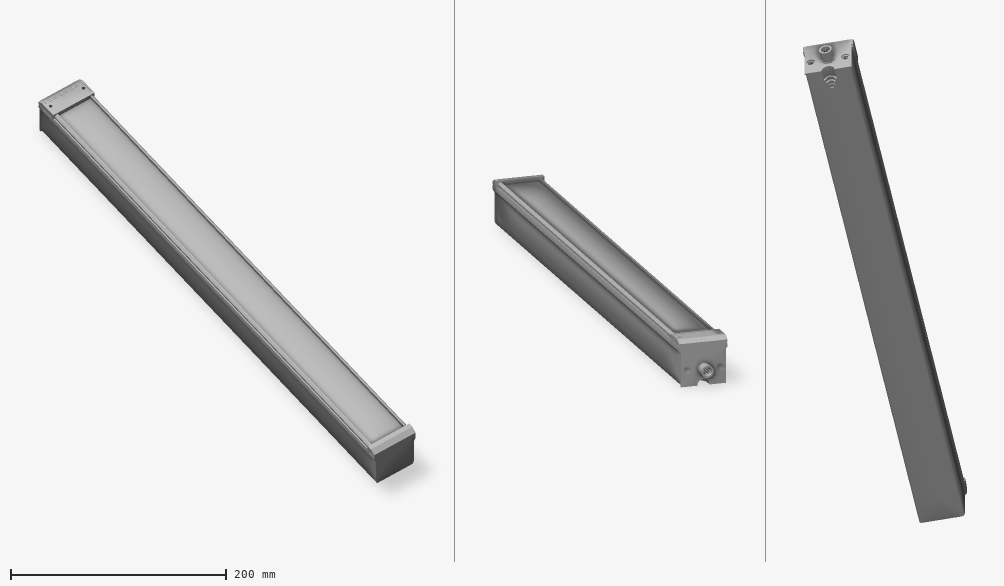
import cadquery as cq

total_length = 545.0
connector_length = 12.0
housing_length = total_length - connector_length
width = 47.5
height = 45.0

flange_half_width = width / 2
wall_half_width = flange_half_width - 1.9
shoulder_half_width = flange_half_width - 0.5
rail_half_width = flange_half_width - 1.5
rim_half_width = rail_half_width - 2.0
corner_half_width = wall_half_width - 0.45
underside_half_width = corner_half_width - 1.9
corner_height = 2.0
corner_bulge = (corner_half_width - 0.65, 0.8)
curve_top = 8.5
curve_bulge = (wall_half_width - 0.1, (corner_height + curve_top) / 2)
flange_bottom = 34.5
flange_underside_start = flange_bottom - 2.5
flange_top = 36.5
shoulder_height = 40.0
rim_height = height - 1.35
bevel_bottom = rim_height - 1.5

plate_thickness = 1.5
plate_proud = 0.25
plate_half_width = wall_half_width + plate_proud

front_block_end = 24.0
rear_block_length = 10.5
block_bottom = flange_bottom
end_chamfer_length = 5.5
end_chamfer_height = 3.0
end_chamfer_bottom = height - end_chamfer_height
side_groove_bottom = 38.0
side_groove_height = 1.5
side_groove_depth = 0.5

panel_start = 6.5
panel_end = front_block_end - 1.5
panel_step_length = 1.5
panel_step_count = 2
panel_step_depth = 0.25

cover_hole_diameter = 3.3
cover_hole_depth = 5.5
cover_hole_x = 13.0
cover_hole_spacing = 37.5

window_width = 37.5
lens_top = 40.5
lens_thickness = 3.0
lens_bottom = lens_top - lens_thickness

port_height = 16.5
screw_spacing = 32.5
screw_diameters = (8.0, 5.4, 3.3)
screw_step_depth = 1.0
notch_diameters = (12.0, 8.5, 5.4, 3.3)
notch_entry_depth = 11.0
notch_step_depth = 3.0

connector_diameter = 12.0
collar_diameter = 11.0
collar_gap = 1.0
collar_length = 1.5
spigot_length = 5.5
socket_diameter = 8.5
socket_depth = 8.5
pin_diameter = 1.0
pin_circle_diameter = 5.4
outer_pin_count = 4
pin_length = 7.0


def box(x_start, x_end, half_width, z_bottom, z_top):
    """Box between two X positions, symmetric about the XZ plane."""
    size = (x_end - x_start, 2 * half_width, z_top - z_bottom)
    return cq.Workplane("XY", origin=(x_start, 0, z_bottom)).box(*size, centered=(False, True, False))


def rod(x_start, length, diameter, y=0.0, z=port_height):
    """Cylinder along +X."""
    return cq.Workplane("YZ", origin=(x_start, y, z)).circle(diameter / 2).extrude(length)


def make_extrusion():
    half = (
        cq.Workplane("YZ", origin=(plate_thickness, 0, 0))
        .lineTo(underside_half_width, 0)
        .threePointArc(corner_bulge, (corner_half_width, corner_height))
        .threePointArc(curve_bulge, (wall_half_width, curve_top))
        .lineTo(wall_half_width, flange_underside_start)
        .lineTo(flange_half_width, flange_bottom)
        .lineTo(flange_half_width, flange_top)
        .lineTo(shoulder_half_width, shoulder_height)
        .lineTo(rail_half_width, shoulder_height)
        .lineTo(rail_half_width, bevel_bottom)
        .lineTo(rim_half_width, rim_height)
        .lineTo(0, rim_height)
        .close()
        .extrude(housing_length - plate_thickness)
    )
    return half.union(half.mirror("XZ"))


def make_end_block(x_start, x_end):
    """Raised block across the full width with a shallow groove along each side."""
    block = box(x_start, x_end, flange_half_width, block_bottom, height)
    groove_top = side_groove_bottom + side_groove_height
    groove = box(x_start, x_end, flange_half_width, side_groove_bottom, groove_top)
    core = box(x_start, x_end, flange_half_width - side_groove_depth, side_groove_bottom, groove_top)
    return block.cut(groove.cut(core))


def cut_end_chamfers(housing):
    """Slopes across the full width at the upper edge of both ends."""
    for end_x, inward in ((plate_proud, 1), (housing_length, -1)):
        wedge = (
            cq.Workplane("XZ", origin=(0, flange_half_width, 0))
            .moveTo(end_x - inward * plate_proud, end_chamfer_bottom)
            .lineTo(end_x, end_chamfer_bottom)
            .lineTo(end_x + inward * end_chamfer_length, height)
            .lineTo(end_x - inward * plate_proud, height)
            .close()
            .extrude(width)
        )
        housing = housing.cut(wedge)
    return housing


def cut_panel(housing):
    """Shallow steps that lead down to the top panel of the front block."""
    for step in range(panel_step_count):
        start = panel_start + step * panel_step_length
        floor = height - (step + 1) * panel_step_depth
        housing = housing.cut(box(start, panel_end, rail_half_width, floor, height))
    return housing


def cut_cover_holes(housing):
    for side in (-1, 1):
        hole = (
            cq.Workplane("XY", origin=(cover_hole_x, side * cover_hole_spacing / 2, height))
            .circle(cover_hole_diameter / 2)
            .extrude(-cover_hole_depth)
        )
        housing = housing.cut(hole)
    return housing


def cut_end_screws(housing):
    """Stepped round recesses beside the connector."""
    for side in (-1, 1):
        for step, diameter in enumerate(screw_diameters, start=1):
            housing = housing.cut(rod(0, step * screw_step_depth, diameter, y=side * screw_spacing / 2))
    return housing


def cut_bottom_notch(housing):
    """Half-round notch at the lower edge of the end face, narrowing in steps."""
    for step, diameter in enumerate(notch_diameters):
        housing = housing.cut(rod(0, notch_entry_depth + step * notch_step_depth, diameter, z=0))
    return housing


def make_window_space(z_bottom, z_top):
    """Box that fills the window between the end blocks from one height to another."""
    return box(front_block_end, housing_length - rear_block_length, window_width / 2, z_bottom, z_top)


def make_spigot():
    """Inner end of the connector, which sits in the end face."""
    return rod(0, spigot_length, socket_diameter)


def make_housing():
    plate = box(0, plate_thickness, plate_half_width, 0, end_chamfer_bottom)
    front_block = make_end_block(plate_proud, front_block_end)
    rear_block = make_end_block(housing_length - rear_block_length, housing_length)
    housing = make_extrusion().union(plate).union(front_block).union(rear_block)
    housing = cut_end_chamfers(housing)
    housing = cut_panel(housing)
    housing = cut_cover_holes(housing)
    housing = cut_end_screws(housing)
    housing = cut_bottom_notch(housing)
    housing = housing.cut(make_window_space(lens_bottom, height))
    return housing.cut(make_spigot())


def make_lens():
    return make_window_space(lens_bottom, lens_top)


def make_connector():
    """Round plug with a narrower collar, and pins in its open end."""
    shell_length = connector_length - collar_gap - collar_length
    plug = (
        rod(-connector_length, shell_length, connector_diameter)
        .union(rod(-collar_gap - collar_length, collar_length, collar_diameter))
        .union(rod(-collar_gap, collar_gap, connector_diameter))
        .union(make_spigot())
        .cut(rod(-connector_length, socket_depth, socket_diameter))
    )
    socket_floor = cq.Workplane("YZ", origin=(socket_depth - connector_length, 0, port_height))
    outer_pins = (
        socket_floor.polarArray(pin_circle_diameter / 2, 0, 360, outer_pin_count)
        .circle(pin_diameter / 2)
        .extrude(-pin_length)
    )
    centre_pin = socket_floor.circle(pin_diameter / 2).extrude(-pin_length)
    return plug.union(outer_pins).union(centre_pin)


housing = make_housing()
lens = make_lens()
connector = make_connector()

result = cq.Compound.makeCompound([housing.val(), lens.val(), connector.val()])